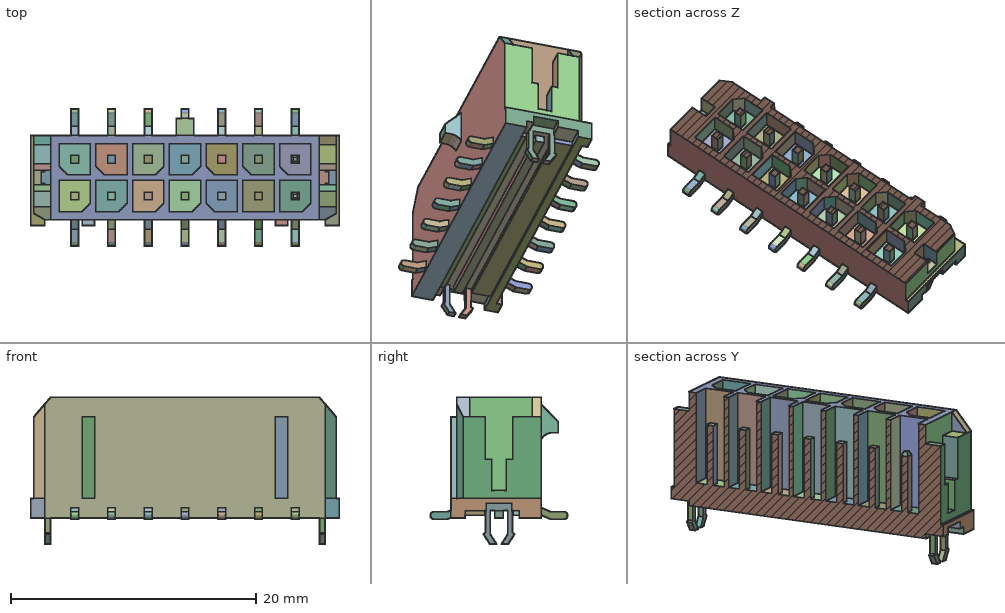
import cadquery as cq

columns = 7
pitch = 3.0

top_half_length = 10.95
body_half_length = 12.32
body_half_width = 3.45
body_height = 9.85
shoulder_z = 8.25
corner_x = 11.42
corner_y = -2.92
end_recess_y = (-2.4, 2.7)

flange_half_length = 12.58
flange_front_y = -3.92
flange_height = 1.6

upper_slot_width = 2.21
upper_slot_z = 4.78
lower_slot_width = 1.15
lower_slot_z = 2.26
clip_pocket_x = 11.7
clip_pocket_width = 0.9
clip_pocket_depth = 0.25

channel_y = (-2.77, 1.63)
channel_roof_z = 0.6
pad_z = 0.23
tunnel_half_width = 1.15
keel_width = 0.73
clip_window_width = 2.05
clip_window_top_z = 1.2

cavity_size = 2.55
cavity_bevel = 0.68
cavity_floor_z = 2.26
pin_size = 0.63
pin_top_z = 7.3
tip_inset = 0.163
tip_height = 0.33
back_row_bevels = "LLRRLLL"
front_row_bevels = "RRRRL-R"

lead_width = pin_size
lead_thickness = 0.63
lead_bottom_z = -0.1
lead_span = 11.2
lead_tip_y = lead_span / 2
lead_bend_y = 4.2
lead_rise = 0.33
lead_root_y = 3.15

rib_x = 7.87
rib_width = 1.0

latch_width = 1.45
latch_y = 4.83
latch_ramp_top_z = 9.28
latch_ramp_bottom_z = 7.85
latch_bottom_z = 6.95
latch_root_z = 6.45
latch_flat_y = 4.23
latch_arc_mid = (3.77, 6.77)

clip_x = top_half_length
clip_thickness = corner_x - top_half_length
clip_outer_y = 1.1
clip_inner_y = 0.7
barb_y = 1.28
barb_z = -1.3
barb_root_z = -1.18
clip_bottom_z = -2.11
clip_toe_outer_y = 0.75
clip_toe_inner_y = 0.2

overlap = 0.25


def box(x0, x1, y0, y1, z0, z1):
    """Axis-aligned block given by its limits."""
    return cq.Workplane("XY").box(x1 - x0, y1 - y0, z1 - z0, centered=False).translate((x0, y0, z0))


def centered_box(half_x, y0, y1, z0, z1):
    return box(-half_x, half_x, y0, y1, z0, z1)


def both_ends(solid):
    """A feature at the +X end together with its mirror image at the -X end."""
    return solid.union(solid.mirror("YZ"))


def housing():
    plan = (
        cq.Workplane("XY")
        .moveTo(-body_half_length, body_half_width)
        .lineTo(body_half_length, body_half_width)
        .lineTo(body_half_length, corner_y)
        .lineTo(corner_x, -body_half_width)
        .lineTo(-corner_x, -body_half_width)
        .lineTo(-body_half_length, corner_y)
        .close()
        .extrude(body_height)
    )
    silhouette = (
        cq.Workplane("XZ")
        .moveTo(-body_half_length, 0)
        .lineTo(body_half_length, 0)
        .lineTo(body_half_length, shoulder_z)
        .lineTo(top_half_length, body_height)
        .lineTo(-top_half_length, body_height)
        .lineTo(-body_half_length, shoulder_z)
        .close()
        .extrude(body_half_width, both=True)
    )
    return plan.intersect(silhouette)


def end_flange():
    """Flange block with its lug standing proud of the -Y wall."""
    inner_x = corner_x - overlap
    block = box(inner_x, flange_half_length, -body_half_width, body_half_width, 0, flange_height)
    lug = box(corner_x, flange_half_length, flange_front_y, -body_half_width, 0, flange_height)
    return block.union(lug)


def slot(width, bottom_z):
    return box(top_half_length, flange_half_length, -width / 2, width / 2, bottom_z, body_height)


def end_cuts():
    recess = box(top_half_length, body_half_length, *end_recess_y, shoulder_z, body_height)
    pocket_z = lower_slot_z - clip_pocket_depth
    narrow_pocket = box(
        corner_x, clip_pocket_x, -clip_pocket_width / 2, clip_pocket_width / 2, pocket_z, lower_slot_z
    )
    wide_pocket = box(
        top_half_length, corner_x, -lower_slot_width / 2, lower_slot_width / 2, pocket_z, lower_slot_z
    )
    clip_window = box(
        corner_x, flange_half_length, -clip_window_width / 2, clip_window_width / 2, 0, clip_window_top_z
    )
    underside = box(top_half_length, flange_half_length, *channel_y, 0, channel_roof_z)
    return (
        recess.union(slot(upper_slot_width, upper_slot_z))
        .union(slot(lower_slot_width, lower_slot_z))
        .union(narrow_pocket)
        .union(wide_pocket)
        .union(clip_window)
        .union(underside)
    )


def underside_channel():
    """Shallow channel along X with a deeper tunnel that leaves a keel in its middle."""
    channel = centered_box(top_half_length, *channel_y, 0, pad_z)
    tunnel = centered_box(top_half_length, -tunnel_half_width, tunnel_half_width, 0, channel_roof_z)
    keel = centered_box(top_half_length, -keel_width / 2, keel_width / 2, 0, channel_roof_z)
    return channel.union(tunnel).cut(keel)


def cavity(x, y, bevel):
    hollow = (
        cq.Workplane("XY", origin=(x, y, cavity_floor_z))
        .rect(cavity_size, cavity_size)
        .extrude(body_height - cavity_floor_z)
    )
    if bevel == "L":
        hollow = hollow.edges("|Z and <X and <Y").chamfer(cavity_bevel)
    elif bevel == "R":
        hollow = hollow.edges("|Z and >X and <Y").chamfer(cavity_bevel)
    return hollow


def pin(x, y, pointed):
    post = (
        cq.Workplane("XY", origin=(x, y, cavity_floor_z - overlap))
        .rect(pin_size, pin_size)
        .extrude(pin_top_z - cavity_floor_z + overlap)
    )
    if pointed:
        post = post.faces(">Z").chamfer(tip_height, tip_inset)
    return post


def lead(x):
    """Gull-wing lead with a rounded tip on the +Y side."""
    tip_radius = lead_thickness / 2
    slope = lead_rise / (lead_bend_y - body_half_width)
    root_z = lead_bottom_z + slope * (lead_bend_y - lead_root_y)
    return (
        cq.Workplane("YZ", origin=(x - lead_width / 2, 0, 0))
        .moveTo(lead_root_y, root_z)
        .lineTo(lead_bend_y, lead_bottom_z)
        .lineTo(lead_tip_y - tip_radius, lead_bottom_z)
        .threePointArc(
            (lead_tip_y, lead_bottom_z + tip_radius),
            (lead_tip_y - tip_radius, lead_bottom_z + lead_thickness),
        )
        .lineTo(lead_bend_y, lead_bottom_z + lead_thickness)
        .lineTo(lead_root_y, root_z + lead_thickness)
        .close()
        .extrude(lead_width)
    )


def rib():
    return box(
        rib_x - rib_width / 2, rib_x + rib_width / 2, flange_front_y, overlap - body_half_width,
        flange_height, shoulder_z,
    )


def latch():
    root_y = body_half_width
    return (
        cq.Workplane("YZ")
        .moveTo(root_y - overlap, latch_root_z)
        .lineTo(root_y, latch_root_z)
        .threePointArc(latch_arc_mid, (latch_flat_y, latch_bottom_z))
        .lineTo(latch_y, latch_bottom_z)
        .lineTo(latch_y, latch_ramp_bottom_z)
        .lineTo(root_y, latch_ramp_top_z)
        .lineTo(root_y - overlap, latch_ramp_top_z)
        .close()
        .extrude(latch_width / 2, both=True)
    )


def clip_arm():
    """Barbed arm on the +Y side of the clip at the +X end."""
    return (
        cq.Workplane("YZ", origin=(clip_x, 0, 0))
        .moveTo(clip_inner_y, channel_roof_z + overlap)
        .lineTo(clip_outer_y, channel_roof_z + overlap)
        .lineTo(clip_outer_y, barb_root_z)
        .lineTo(barb_y, barb_z)
        .lineTo(clip_toe_outer_y, clip_bottom_z)
        .lineTo(clip_toe_inner_y, clip_bottom_z)
        .lineTo(clip_inner_y, barb_z)
        .close()
        .extrude(clip_thickness)
    )


body = housing().union(both_ends(end_flange()))
body = body.cut(both_ends(end_cuts())).cut(underside_channel())
body = body.union(both_ends(rib())).union(latch())

arm = clip_arm()
body = body.union(both_ends(arm.union(arm.mirror("XZ"))))

rows = ((pitch / 2, back_row_bevels), (-pitch / 2, front_row_bevels))
for column in range(columns):
    x = (column - (columns - 1) / 2) * pitch
    is_last = column == columns - 1
    for y, bevels in rows:
        body = body.cut(cavity(x, y, bevels[column]))
        body = body.union(pin(x, y, pointed=is_last))
    back_lead = lead(x)
    body = body.union(back_lead).union(back_lead.mirror("XZ"))

result = body